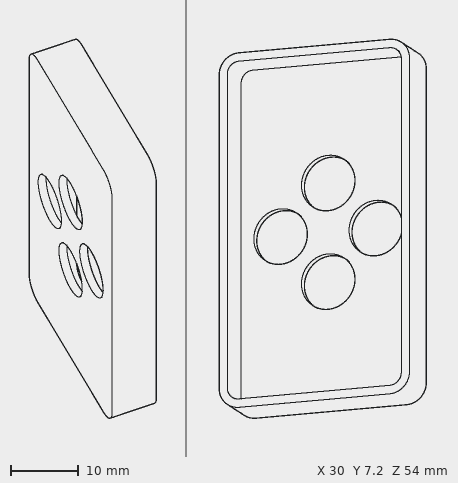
import cadquery as cq

width = 30.0
depth = 7.2
height = 54.0
corner_radius = 3.15

wall = 1.3
face_thickness = 1.3
cavity_corner_radius = corner_radius - wall

hole_diameter = 8.4
hole_offset = 7.5


def rounded_block(size_x, size_z, radius, front_y, back_y):
    """Block between two Y positions, rounded along its Y edges."""
    return (
        cq.Workplane("XZ", origin=(0, front_y, 0))
        .rect(size_x, size_z)
        .extrude(front_y - back_y)
        .edges("|Y")
        .fillet(radius)
    )


front_y = -depth / 2
back_y = depth / 2

body = rounded_block(width, height, corner_radius, front_y, back_y)
cavity = rounded_block(
    width - 2 * wall,
    height - 2 * wall,
    cavity_corner_radius,
    front_y + face_thickness,
    back_y,
)
holes = (
    cq.Workplane("XZ", origin=(0, back_y, 0))
    .polarArray(hole_offset, 0, 360, 4)
    .circle(hole_diameter / 2)
    .extrude(depth)
)

result = body.cut(cavity).cut(holes)